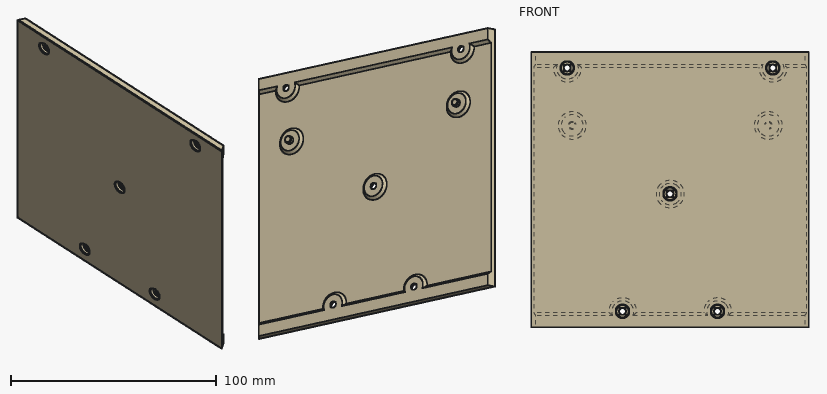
import cadquery as cq
import math

width = 135.0
height = 133.9
total_depth = 5.5
floor_thickness = 2.0
rim_thickness = 3.5
side_angle = 30.0

edge_chamfer_depth = 0.4
edge_chamfer_drop = 0.2

raised_height = rim_thickness - floor_thickness
rib_crest_width = 6.0
rib_base_width = rib_crest_width + raised_height

boss_base_radius = 6.8
boss_top_radius = boss_base_radius - raised_height

peg_radius = 1.9
peg_chamfer = 0.4
peg_x = 47.7
peg_z = 31.3

hole_radius = 1.6
counterbore_radius = 3.0
counterbore_depth = 2.0
counterbore_chamfer = 0.4
step_depth = 0.2
outer_hole_z = 59.1
upper_hole_x = 50.0
lower_hole_x = 23.1
center_hole_z = -2.0

hole_centers = [
    (-upper_hole_x, outer_hole_z),
    (upper_hole_x, outer_hole_z),
    (0, center_hole_z),
    (-lower_hole_x, -outer_hole_z),
    (lower_hole_x, -outer_hole_z),
]
peg_centers = [(-peg_x, peg_z), (peg_x, peg_z)]


def plane_at(x, y, z):
    """Work plane whose normal points towards +Y, with local x along X."""
    return cq.Workplane(cq.Plane(origin=(x, y, z), xDir=(1, 0, 0), normal=(0, 1, 0)))


def make_plate():
    """Floor and both ribs, cut to sloping left and right sides."""
    top = height / 2
    section = [
        (0, -top),
        (0, top - edge_chamfer_drop),
        (edge_chamfer_depth, top),
        (rim_thickness, top),
        (rim_thickness, top - rib_crest_width),
        (floor_thickness, top - rib_base_width),
        (floor_thickness, rib_base_width - top),
        (rim_thickness, rib_crest_width - top),
        (rim_thickness, -top),
    ]
    profile = cq.Workplane("YZ").polyline(section).close().extrude(width / 2, both=True)

    inset = rim_thickness * math.tan(math.radians(side_angle))
    outline = [
        (-width / 2, 0),
        (width / 2, 0),
        (width / 2 - inset, rim_thickness),
        (inset - width / 2, rim_thickness),
    ]
    envelope = cq.Workplane("XY").polyline(outline).close().extrude(top, both=True)
    return profile.intersect(envelope)


def make_boss(x, z):
    """Conical boss standing on the floor."""
    cone = cq.Solid.makeCone(
        boss_base_radius,
        boss_top_radius,
        raised_height,
        pnt=cq.Vector(x, floor_thickness, z),
        dir=cq.Vector(0, 1, 0),
    )
    return cq.Workplane(cone)


def make_peg(x, z):
    """Round peg with a chamfered tip, rooted in the floor."""
    peg = plane_at(x, floor_thickness, z).circle(peg_radius).extrude(total_depth - floor_thickness)
    return peg.faces(">Y").chamfer(peg_chamfer)


def make_hole_cutter(x, z):
    """Counterbore, a slot step, a square step and the through hole."""
    through = plane_at(x, 0, z).circle(hole_radius).extrude(total_depth)
    bore = plane_at(x, 0, z).circle(counterbore_radius).extrude(counterbore_depth)
    mouth = cq.Workplane(
        cq.Solid.makeCone(
            counterbore_radius + counterbore_chamfer,
            counterbore_radius,
            counterbore_chamfer,
            pnt=cq.Vector(x, 0, z),
            dir=cq.Vector(0, 1, 0),
        )
    )
    slot_step = (
        plane_at(x, counterbore_depth, z)
        .rect(2 * counterbore_radius, 2 * hole_radius)
        .extrude(step_depth)
        .intersect(plane_at(x, counterbore_depth, z).circle(counterbore_radius).extrude(step_depth))
    )
    square_step = (
        plane_at(x, counterbore_depth, z)
        .rect(2 * hole_radius, 2 * hole_radius)
        .extrude(2 * step_depth)
    )
    return through.union(bore).union(mouth).union(slot_step).union(square_step)


result = make_plate()
for center in hole_centers + peg_centers:
    result = result.union(make_boss(*center))
for center in peg_centers:
    result = result.union(make_peg(*center))
for center in hole_centers:
    result = result.cut(make_hole_cutter(*center))